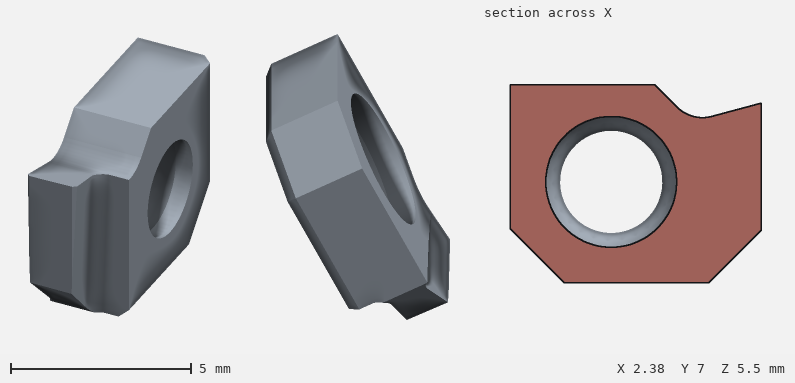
import cadquery as cq
import math

thickness = 2.38
back_y = 2.8
tip_y = -4.2
top_z = 2.7
bottom_z = -2.8
corner_cut = 1.5

top_land = 4.0
tip_z = 2.2
rake_angle = math.radians(15)
chip_root_radius = 1.0

edge_chamfer_x = 0.32
edge_chamfer_inward = 0.30

mouth_radius = 1.985
bore_radius = 1.415
mouth_depth = 0.70
bore_start = 1.86
seat_radius = 3.5

tooth_width = 1.5
side_draft = math.radians(2)
side_taper = math.radians(4)
front_tilt = math.radians(2)
nose_chamfer_x = 0.10
nose_chamfer_y = 0.11
shoulder_y = -2.59
shoulder_fillet = 0.40
left_relief_start_y = -2.99
left_relief_fillet = 0.36

clearance = 1.0


def rake_z(y):
    """Height of the rake plane at a given Y."""
    return tip_z - (y - tip_y) * math.tan(rake_angle)


def make_plate():
    land_end_y = back_y - top_land
    root_y = (rake_z(0) - top_z + land_end_y) / (1 + math.tan(rake_angle))
    root_z = rake_z(root_y)
    outline = [
        (back_y, top_z),
        (land_end_y, top_z),
        (root_y, root_z),
        (tip_y, tip_z),
        (tip_y, bottom_z + corner_cut),
        (tip_y + corner_cut, bottom_z),
        (back_y - corner_cut, bottom_z),
        (back_y, bottom_z + corner_cut),
    ]
    plate = cq.Workplane("YZ").polyline(outline).close().extrude(thickness)
    root_edge = cq.selectors.NearestToPointSelector((thickness / 2, root_y, root_z))
    return plate.edges("|X").edges(root_edge).fillet(chip_root_radius)


def chamfer_far_edges(plate):
    """Chamfer the +X face along the back, the rear corner cut and the bottom."""
    cut_middle = corner_cut / 2
    edge_middles = [
        (thickness, back_y, (top_z + bottom_z + corner_cut) / 2),
        (thickness, back_y - cut_middle, bottom_z + cut_middle),
        (thickness, (back_y + tip_y) / 2, bottom_z),
    ]
    edges = [plate.edges(cq.selectors.NearestToPointSelector(middle)).val() for middle in edge_middles]
    chamfered = plate.val().chamfer(edge_chamfer_inward, edge_chamfer_x, edges)
    return cq.Workplane(obj=chamfered)


def make_hole():
    """Cylindrical mouth on the -X face, narrowing through a curved screw seat to a smaller bore."""
    run = bore_start - mouth_depth
    drop = mouth_radius - bore_radius
    chord = math.hypot(run, drop)
    bulge = seat_radius - math.sqrt(seat_radius**2 - (chord / 2) ** 2)
    seat_middle = (
        (mouth_depth + bore_start) / 2 + bulge * drop / chord,
        (mouth_radius + bore_radius) / 2 + bulge * run / chord,
    )
    return (
        cq.Workplane("XZ")
        .moveTo(0, 0)
        .lineTo(0, mouth_radius)
        .lineTo(mouth_depth, mouth_radius)
        .threePointArc(seat_middle, (bore_start, bore_radius))
        .lineTo(thickness, bore_radius)
        .lineTo(thickness, 0)
        .close()
        .revolve(360, (0, 0), (1, 0))
    )


def make_side_cutter(points, lean, fillet_radius):
    """Sweep XY points, laid on the rake plane, down along a direction leaning in X.

    The second point is the inner corner, and its swept edge is rounded.
    """
    sweep = cq.Vector(lean * math.tan(side_draft), 0, -1) * (top_z - bottom_z + 2 * clearance)
    lift = sweep * (-clearance / (top_z - bottom_z))
    corners = [cq.Vector(x, y, rake_z(y)) + lift for x, y in points]
    wire = cq.Wire.makePolygon(corners, close=True)
    prism = cq.Workplane(obj=cq.Solid.extrudeLinear(wire, [], sweep))
    corner_edge = cq.selectors.NearestToPointSelector((corners[1] + sweep * 0.5).toTuple())
    return prism.edges(corner_edge).fillet(fillet_radius)


def make_left_relief():
    corner_y = left_relief_start_y + left_relief_fillet
    front_y = tip_y - clearance
    points = [(0, front_y), (0, corner_y), (-clearance, corner_y), (-clearance, front_y)]
    return make_side_cutter(points, 1, left_relief_fillet)


def make_right_relief():
    full_width_y = tip_y + nose_chamfer_y
    front_y = tip_y - clearance
    outer_x = thickness + clearance

    def wall_x(y):
        return tooth_width - (y - full_width_y) * math.tan(side_taper)

    points = [
        (wall_x(front_y), front_y),
        (wall_x(shoulder_y), shoulder_y),
        (outer_x, shoulder_y),
        (outer_x, front_y),
    ]
    return make_side_cutter(points, -1, shoulder_fillet)


def make_nose_trim():
    """Vertical cutter for the tilted front face and its two corner chamfers."""
    left_x = nose_chamfer_x
    right_x = tooth_width - nose_chamfer_x
    right_y = tip_y + (right_x - left_x) * math.tan(front_tilt)
    front_y = tip_y - clearance
    points = [
        (0, tip_y + nose_chamfer_y),
        (left_x, tip_y),
        (right_x, right_y),
        (tooth_width, right_y + nose_chamfer_y),
        (thickness, right_y + nose_chamfer_y),
        (thickness, front_y),
        (0, front_y),
    ]
    return (
        cq.Workplane("XY", origin=(0, 0, bottom_z))
        .polyline(points)
        .close()
        .extrude(top_z - bottom_z)
    )


result = chamfer_far_edges(make_plate())
result = result.cut(make_hole())
result = result.cut(make_left_relief())
result = result.cut(make_right_relief())
result = result.cut(make_nose_trim())